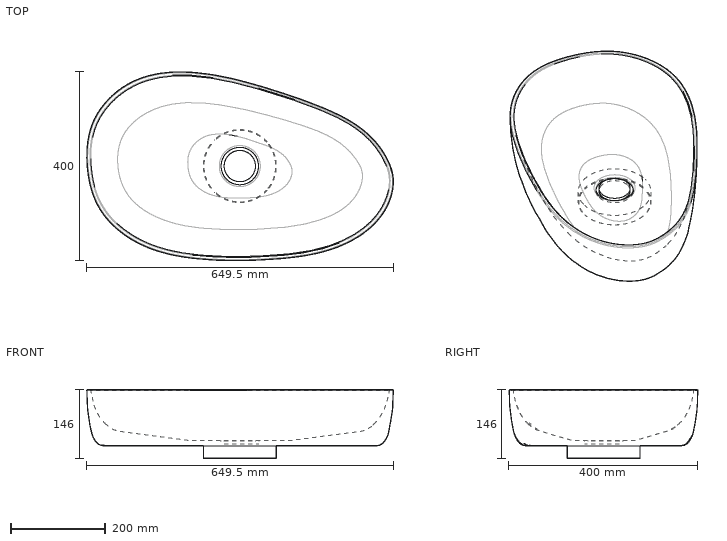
import cadquery as cq
import math

total_height = 146.0
base_height = 27.0
floor_height = 39.0

rim_width = 1.3
rim_rounding = 2.0

collar_radius = 77.5
collar_chamfer = 1.0
drain_radius = 39.5
drain_edge_rounding = 4.0
drain_depth = 8.0
plug_radius = 33.0
plug_height = 38.0

floor_scale = 0.34
bowl_depth = total_height - floor_height

outline_points = [
    (319.0, 0.5),
    (260.5, 77.5),
    (164.5, 128.5),
    (61.0, 164.5),
    (-73.5, 196.0),
    (-228.0, 179.0),
    (-311.0, 93.0),
    (-323.5, -0.5),
    (-299.0, -88.0),
    (-211.0, -166.0),
    (-74.0, -198.0),
    (73.5, -197.5),
    (216.5, -168.0),
    (308.5, -92.0),
]
half_length = 50
half_width = 30.8

outer_profile = [
    (0, 0),
    (26.0, 0.1),
    (52.5, 0.5),
    (78.0, 1.1),
    (99.5, 2.0),
    (112.0, 3.2),
    (total_height - base_height, 5.5),
]

inner_profile = [
    (0, rim_width),
    (26.0, 2.1),
    (52.0, 3.7),
    (71.5, 6.0),
    (82.0, 8.0),
    (88.0, 10.1),
]


def section(depth, scale_x, scale_y):
    """Closed smooth wire at a depth below the rim, a scaled copy of the rim outline."""
    height = total_height - depth
    points = [cq.Vector(x * scale_x, y * scale_y, height) for x, y in outline_points]
    return cq.Wire.assembleEdges([cq.Edge.makeSpline(points, periodic=True)])


def inset_section(depth, inset):
    """Section whose long and short sides are both drawn in by the inset."""
    return section(depth, 1 - inset / half_length, 1 - inset / half_width)


def cylinder(radius, bottom, top):
    return cq.Workplane("XY", origin=(0, 0, bottom)).circle(radius).extrude(top - bottom)


outer_sections = [inset_section(*level) for level in outer_profile]
inner_sections = [inset_section(*level) for level in inner_profile]
floor_section = section(bowl_depth, floor_scale, floor_scale)
outer_body = cq.Workplane(cq.Solid.makeLoft(outer_sections))
wall_cavity = cq.Workplane(cq.Solid.makeLoft(inner_sections))
slope_cavity = cq.Workplane(cq.Solid.makeLoft([inner_sections[-1], floor_section]))
bowl = outer_body.cut(wall_cavity).cut(slope_cavity)
bowl = bowl.faces(">Z").edges().fillet(rim_rounding)

collar = cylinder(collar_radius, 0, base_height + (floor_height - base_height) / 2)
collar = collar.faces("<Z").edges().chamfer(collar_chamfer)
basin = bowl.union(collar)

drain_bottom = floor_height - drain_depth
rolled_edge_middle = drain_edge_rounding * (1 - math.sqrt(0.5))
recess = (
    cq.Workplane("XZ")
    .moveTo(0, drain_bottom)
    .lineTo(drain_radius, drain_bottom)
    .lineTo(drain_radius, floor_height - drain_edge_rounding)
    .threePointArc(
        (drain_radius + rolled_edge_middle, floor_height - rolled_edge_middle),
        (drain_radius + drain_edge_rounding, floor_height),
    )
    .lineTo(0, floor_height)
    .close()
    .revolve(360, (0, 0, 0), (0, 1, 0))
)
basin = basin.cut(recess)

result = basin.union(cylinder(plug_radius, drain_bottom, plug_height))